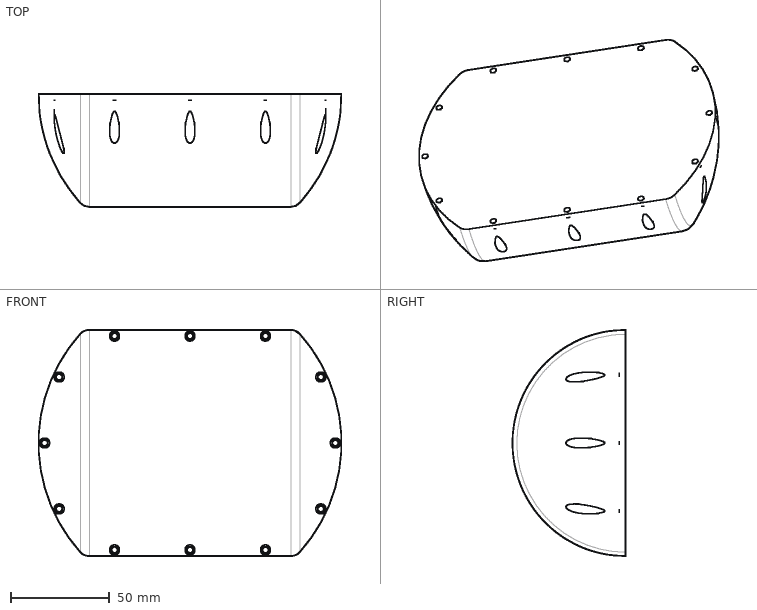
import cadquery as cq
import math

body_radius = 57.15
straight_length = 101.6
dome_radius = 82.55
edge_fillet = 6.35

screw_diameter = 3.0
counterbore_diameter = 5.0
flange_thickness = 3.175
screw_inset = 3.175
side_screw_pitch = 38.1
dome_screw_angle = 24.8
screw_steps = (-1, 0, 1)

dome_center = straight_length / 2 - math.sqrt(
    (dome_radius - edge_fillet) ** 2 - (body_radius - edge_fillet) ** 2
)
dome_tip = dome_center + dome_radius


def dome_sphere(side):
    """Full sphere that shapes the dome on the given side (+1 or -1) of X."""
    return cq.Workplane("XZ", origin=(side * dome_center, 0, 0)).sphere(dome_radius)


def half_round_body():
    """Half-cylinder with its flat face on Y = 0, domed at both ends and filleted at the rims."""
    body = (
        cq.Workplane("YZ")
        .moveTo(0, body_radius)
        .threePointArc((-body_radius, 0), (0, -body_radius))
        .close()
        .extrude(dome_tip, both=True)
    )
    for side in (1, -1):
        body = body.intersect(dome_sphere(side))
    rims = cq.selectors.BoxSelector(
        (-dome_tip, -body_radius, -body_radius),
        (dome_tip, -edge_fillet, body_radius),
    )
    return body.edges(rims).fillet(edge_fillet)


def screw_positions():
    """(X, Z) of every screw: a row along each straight side and an arc around each dome."""
    side_z = body_radius - screw_inset
    dome_screw_circle = dome_radius - screw_inset
    points = []
    for side in (-1, 1):
        for step in screw_steps:
            points.append((step * side_screw_pitch, side * side_z))
            angle = math.radians(step * dome_screw_angle)
            x = dome_center + dome_screw_circle * math.cos(angle)
            z = dome_screw_circle * math.sin(angle)
            points.append((side * x, z))
    return points


def round_cutters(diameter, start_depth):
    """Cylinders at all screw positions, running toward -Y from start_depth below the flat face."""
    return (
        cq.Workplane("XZ", origin=(0, -start_depth, 0))
        .pushPoints(screw_positions())
        .circle(diameter / 2)
        .extrude(body_radius)
    )


result = (
    half_round_body()
    .cut(round_cutters(screw_diameter, 0))
    .cut(round_cutters(counterbore_diameter, flange_thickness))
    .solids()
)